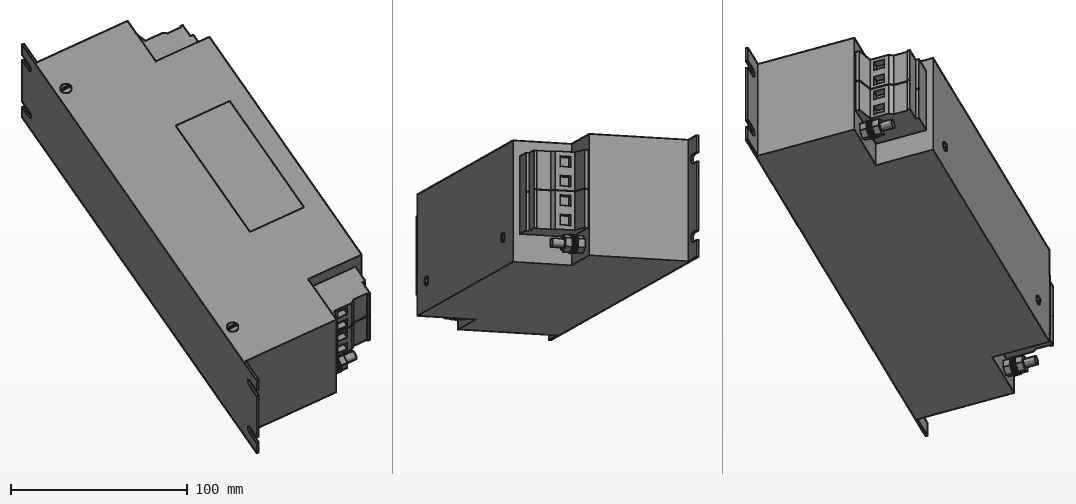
import cadquery as cq

plate_length = 270.0
plate_thickness = 1.4
height = 70.0
base_length = 240.0
shoulder_y = 60.2
upper_length = 175.0
back_y = 95.0

slot_width = 5.5
slot_depth = 10.3
slot_heights = (12.5, 57.5)

label_length = 85.3
label_width = 35.0
label_center_y = 65.3
label_thickness = 0.14

top_screw_diameter = 6.5
back_screw_diameter = 5.5
screw_height = 1.4
screw_slot_width = 1.0
screw_slot_depth = 0.8
top_screw_x = 95.8
top_screw_y = 6.5
back_screw_x = 70.0
back_screw_z = 17.0

terminal_bottom = 16.2
terminal_height = 44.8
module_count = 2
openings_per_module = 2
module_height = terminal_height / module_count
opening_count = module_count * openings_per_module
opening_pitch = terminal_height / opening_count
opening_height = 6.0
opening_depth = 4.0
opening_start_y = 67.5
opening_end_y = 73.7
clamp_face_x = 108.5
parting_groove_width = 0.3
parting_groove_depth = 0.3

terminal_outline = [
    (upper_length / 2, shoulder_y),
    (117.7, shoulder_y),
    (117.7, 62.5),
    (clamp_face_x, 65.3),
    (clamp_face_x, 76.7),
    (107.0, 78.8),
    (107.0, 87.5),
    (107.7, 87.5),
    (107.7, 89.0),
    (98.8, 89.0),
    (98.8, 91.0),
    (upper_length / 2, 91.0),
]

stud_x = 107.7
stud_z = 8.5
stud_diameter = 5.0
stud_length = 18.5
nut_across_corners = 10.0
washer_diameter = 10.5
spring_washer_diameter = 9.5
lower_nut_height = 4.3
washer_thickness = 1.0
washer_count = 3
upper_nut_height = 4.0


def box(x_range, y_range, z_range):
    """Box between the given limits along each axis."""
    size = [high - low for low, high in (x_range, y_range, z_range)]
    return cq.Workplane("XY").box(*size, centered=False).translate((x_range[0], y_range[0], z_range[0]))


def plate():
    body = box((-plate_length / 2, plate_length / 2), (0, plate_thickness), (0, height))
    slot_centers = [(side * plate_length / 2, z) for side in (-1, 1) for z in slot_heights]
    slots = (
        cq.Workplane("XZ")
        .pushPoints(slot_centers)
        .slot2D(2 * slot_depth, slot_width)
        .extrude(-plate_thickness)
    )
    return body.cut(slots)


def housing():
    base = box((-base_length / 2, base_length / 2), (plate_thickness, shoulder_y), (0, height))
    upper = box((-upper_length / 2, upper_length / 2), (shoulder_y, back_y), (0, height))
    label = (
        cq.Workplane("XY", origin=(0, label_center_y, height))
        .rect(label_length, label_width)
        .extrude(label_thickness)
    )
    return base.union(upper).union(label)


def screw_head(diameter):
    """Domed head standing on Z = 0, with its driver slot along Y."""
    radius = diameter / 2
    rim_height = screw_height / 4
    dome_rise = screw_height - rim_height
    dome_radius = (radius**2 + dome_rise**2) / (2 * dome_rise)
    ball = cq.Workplane("XY").sphere(dome_radius).translate((0, 0, screw_height - dome_radius))
    head = cq.Workplane("XY").circle(radius).extrude(screw_height).intersect(ball)
    slot = box(
        (-screw_slot_width / 2, screw_slot_width / 2),
        (-radius, radius),
        (screw_height - screw_slot_depth, screw_height),
    )
    return head.cut(slot)


def terminal_block():
    """Terminal block on the +X shoulder."""
    block = (
        cq.Workplane("XY", origin=(0, 0, terminal_bottom))
        .polyline(terminal_outline)
        .close()
        .extrude(terminal_height)
    )
    for index in range(opening_count):
        center_z = terminal_bottom + (index + 0.5) * opening_pitch
        opening = box(
            (clamp_face_x - opening_depth, clamp_face_x),
            (opening_start_y, opening_end_y),
            (center_z - opening_height / 2, center_z + opening_height / 2),
        )
        block = block.cut(opening)

    for index in range(1, module_count):
        groove_bottom = terminal_bottom + index * module_height - parting_groove_width / 2
        outline = cq.Workplane("XY", origin=(0, 0, groove_bottom)).polyline(terminal_outline).close()
        slice_of_block = outline.extrude(parting_groove_width)
        core = slice_of_block.translate((-parting_groove_depth, 0, 0))
        block = block.cut(slice_of_block.cut(core))
    return block


def earth_stud():
    """Earth stud on the +X shoulder, pointing along +Y."""
    def section(start_y):
        plane = cq.Plane(origin=(stud_x, start_y, stud_z), xDir=(0, 0, 1), normal=(0, 1, 0))
        return cq.Workplane(plane)

    washers_y = shoulder_y + lower_nut_height
    upper_nut_y = washers_y + washer_count * washer_thickness
    stud = section(shoulder_y).circle(stud_diameter / 2).extrude(stud_length)
    lower_nut = section(shoulder_y).polygon(6, nut_across_corners).extrude(lower_nut_height)
    upper_nut = section(upper_nut_y).polygon(6, nut_across_corners).extrude(upper_nut_height)
    stud = stud.union(lower_nut).union(upper_nut)
    for index in range(washer_count):
        diameter = spring_washer_diameter if index == washer_count // 2 else washer_diameter
        washer_y = washers_y + index * washer_thickness
        stud = stud.union(section(washer_y).circle(diameter / 2).extrude(washer_thickness))
    return stud


top_screw = screw_head(top_screw_diameter).translate((top_screw_x, top_screw_y, height))
back_screw = (
    screw_head(back_screw_diameter)
    .rotate((0, 0, 0), (1, 0, 0), -90)
    .translate((back_screw_x, back_y, back_screw_z))
)

result = plate().union(housing())
for part in (top_screw, back_screw, terminal_block(), earth_stud()):
    result = result.union(part).union(part.mirror("YZ"))